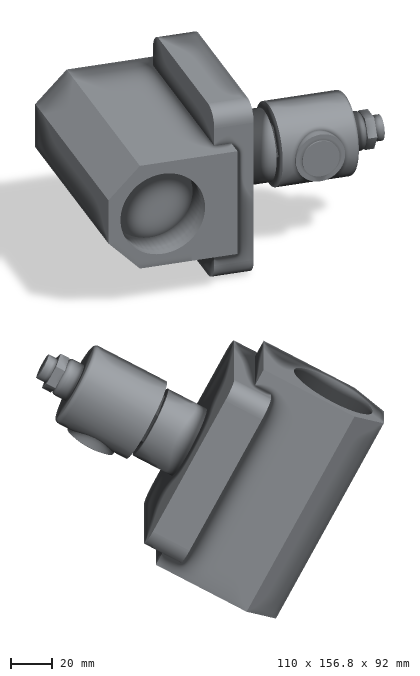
import cadquery as cq
import math


BLOCK_LENGTH = 110.0
BLOCK_HEIGHT = 55.2
BLOCK_FRONT_Y = -76.8
BLOCK_BACK_Y = -11.3
BLOCK_CHAMFER = 16.0
FLANGE_SIDE = 92.0
FLANGE_THICKNESS = 20.0
FLANGE_CORNER_RADIUS = 9.1
PORT_DIAMETER = 43.0
PORT_DEPTH = 18.8
PORT_CENTER_Y = BLOCK_FRONT_Y + BLOCK_HEIGHT / 2

NECK_TOP = 21.0
COIL_BOTTOM = 23.2
COIL_TOP = 62.4
COLLAR_TOP = 70.4
NUT_TOP = 75.1
STEM_TOP = 80.0

NECK_RADIUS = 18.2
COIL_RADIUS = 21.0
COIL_ROUND = 1.9
COLLAR_RADIUS = 9.7
COLLAR_ROUND = 2.4
STEM_RADIUS = 6.5
LOWER_HEX_FLATS = 25.5
NUT_FLATS = 16.8

BOSS_CENTER_Y = 42.0
BOSS_RADIUS = 12.5
BOSS_FACE_X = 22.1
CAP_RADIUS = 9.4
CAP_FACE_X = 23.0


def disc_along_y(radius, start, end):
    return cq.Workplane("XZ", origin=(0, start, 0)).circle(radius).extrude(start - end)


def hexagon_along_y(across_flats, start, end):
    """Hexagonal prism with two corners on the X axis."""
    across_corners = across_flats / math.cos(math.pi / 6)
    return cq.Workplane("XZ", origin=(0, start, 0)).polygon(6, across_corners).extrude(start - end)


def disc_along_x(radius, end):
    """Disc on the connector axis, running from the coil axis out to x = end."""
    return cq.Workplane("YZ", origin=(0, BOSS_CENTER_Y, 0)).circle(radius).extrude(end)


def make_housing():
    block_depth = BLOCK_BACK_Y - BLOCK_FRONT_Y
    block_center_y = (BLOCK_BACK_Y + BLOCK_FRONT_Y) / 2
    block = cq.Workplane("XY").box(BLOCK_LENGTH, block_depth, BLOCK_HEIGHT)
    block = block.translate((0, block_center_y, 0))
    block = block.faces("<Y").edges("|X").chamfer(BLOCK_CHAMFER)

    flange = cq.Workplane("XY").box(FLANGE_SIDE, FLANGE_THICKNESS, FLANGE_SIDE)
    flange = flange.translate((0, -FLANGE_THICKNESS / 2, 0))
    flange = flange.edges("|Y").fillet(FLANGE_CORNER_RADIUS)
    housing = block.union(flange)

    for side in (-1, 1):
        end_face = cq.Workplane("YZ", origin=(side * BLOCK_LENGTH / 2, PORT_CENTER_Y, 0))
        port = end_face.circle(PORT_DIAMETER / 2).extrude(-side * PORT_DEPTH)
        housing = housing.cut(port)
    return housing


def make_actuator():
    coil = disc_along_y(COIL_RADIUS, COIL_BOTTOM, COIL_TOP).faces(">Y").edges().fillet(COIL_ROUND)
    collar = disc_along_y(COLLAR_RADIUS, COIL_TOP, COLLAR_TOP).faces(">Y").edges().fillet(COLLAR_ROUND)

    actuator = disc_along_y(NECK_RADIUS, 0, NECK_TOP)
    actuator = actuator.union(hexagon_along_y(LOWER_HEX_FLATS, NECK_TOP, COIL_BOTTOM))
    actuator = actuator.union(coil)
    actuator = actuator.union(collar)
    actuator = actuator.union(hexagon_along_y(NUT_FLATS, COLLAR_TOP, NUT_TOP))
    actuator = actuator.union(disc_along_y(STEM_RADIUS, NUT_TOP, STEM_TOP))

    actuator = actuator.union(disc_along_x(BOSS_RADIUS, BOSS_FACE_X))
    actuator = actuator.union(disc_along_x(CAP_RADIUS, CAP_FACE_X))
    return actuator


housing = make_housing()
actuator = make_actuator()
result = cq.Compound.makeCompound([housing.val(), actuator.val()])